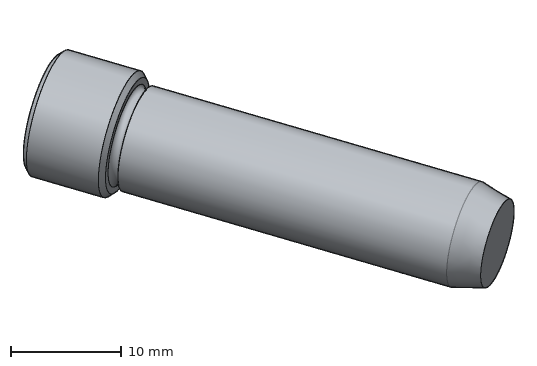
import cadquery as cq
import math

total_length = 44.0
head_diameter = 12.0
head_length = 8.0
head_chamfer = 0.5
shank_diameter = 10.0

tip_length = 3.0
tip_half_angle = 15.0

groove_width = 1.0
groove_middle_depth = 0.5
groove_head_side_depth = 0.15

head_radius = head_diameter / 2
shank_radius = shank_diameter / 2
tip_radius = shank_radius - tip_length * math.tan(math.radians(tip_half_angle))


def make_pin():
    """Revolve the half profile of the pin, drawn in the XY plane, about the X axis."""
    groove_start = (head_length, shank_radius - groove_head_side_depth)
    groove_middle = (head_length + groove_width / 2, shank_radius - groove_middle_depth)
    groove_end = (head_length + groove_width, shank_radius)

    profile = (
        cq.Workplane("XY")
        .moveTo(0, 0)
        .lineTo(0, head_radius - head_chamfer)
        .lineTo(head_chamfer, head_radius)
        .lineTo(head_length - head_chamfer, head_radius)
        .lineTo(head_length, head_radius - head_chamfer)
        .lineTo(*groove_start)
        .threePointArc(groove_middle, groove_end)
        .lineTo(total_length - tip_length, shank_radius)
        .lineTo(total_length, tip_radius)
        .lineTo(total_length, 0)
        .close()
    )
    return profile.revolve(360, (0, 0, 0), (1, 0, 0))


result = make_pin()